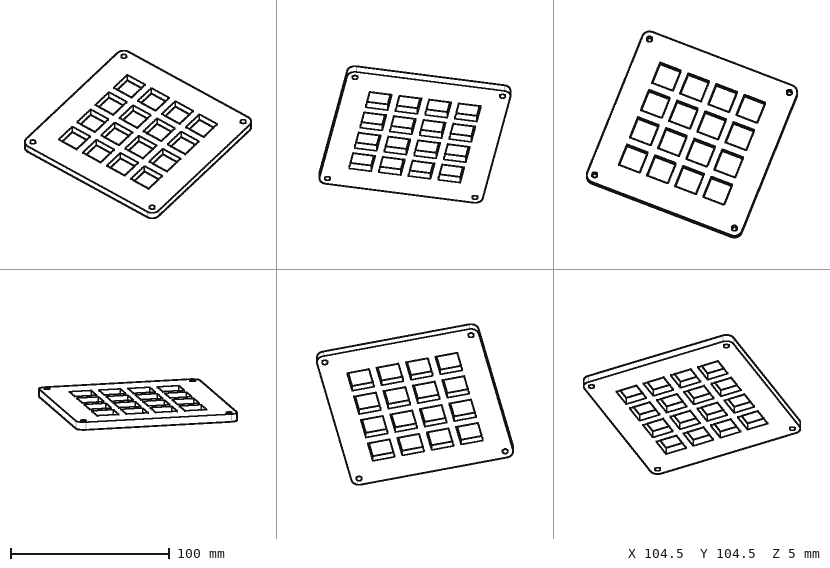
import cadquery as cq

side = 104.5
thickness = 5.0
corner_radius = 5.0

hole_diameter = 3.5
hole_spacing = side - 2 * corner_radius

window_count = 4
window_side = 14.1
window_pitch = 19.0

plate = (
    cq.Workplane("XY")
    .rect(side, side)
    .extrude(thickness)
    .edges("|Z")
    .fillet(corner_radius)
)

screw_holes = (
    cq.Workplane("XY")
    .rect(hole_spacing, hole_spacing, forConstruction=True)
    .vertices()
    .circle(hole_diameter / 2)
    .extrude(thickness)
)

windows = (
    cq.Workplane("XY")
    .rarray(window_pitch, window_pitch, window_count, window_count)
    .rect(window_side, window_side)
    .extrude(thickness)
)

result = plate.cut(screw_holes).cut(windows)